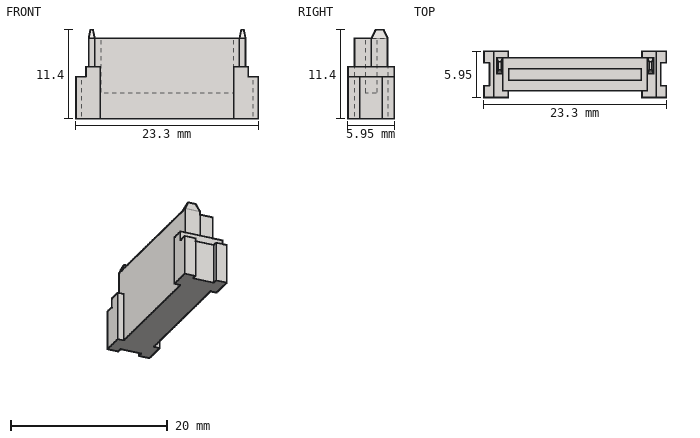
import cadquery as cq

length = 23.3
width = 5.95
height = 11.4

body_length = 18.45
body_width = 4.25
body_height = 10.32
card_slot_length = 16.95
card_slot_width = 1.47
card_slot_depth = 7.0

block_length = 3.12
block_height = 6.66
step_length = 1.28
step_height = 5.4
notch_depth = 0.72
notch_width = 2.9

peg_length = 0.8
peg_width = 2.07
peg_tip_length = 0.35
peg_tip_width = 1.03


def make_body():
    """Solid housing standing on Z = 0."""
    return cq.Workplane("XY").box(body_length, body_width, body_height, centered=(True, True, False))


def make_end_block():
    """Left end block: an L-shaped profile with a vertical notch in its outer face."""
    outer_x = -length / 2
    inner_x = outer_x + block_length
    step_x = outer_x + step_length
    profile = [
        (outer_x, 0),
        (inner_x, 0),
        (inner_x, block_height),
        (step_x, block_height),
        (step_x, step_height),
        (outer_x, step_height),
    ]
    block = cq.Workplane("XZ").polyline(profile).close().extrude(width / 2, both=True)
    notch = (
        cq.Workplane("XY")
        .box(notch_depth, notch_width, step_height, centered=(False, True, False))
        .translate((outer_x, 0, 0))
    )
    return block.cut(notch)


def make_peg():
    """Left peg: a straight post on the end block with a tapered tip."""
    center_x = -(body_length + peg_length) / 2
    center_y = (body_width - peg_width) / 2
    post = (
        cq.Workplane("XY", origin=(center_x, center_y, block_height))
        .rect(peg_length, peg_width)
        .extrude(body_height - block_height)
    )
    tip = (
        cq.Workplane("XY", origin=(center_x, center_y, body_height))
        .rect(peg_length, peg_width)
        .workplane(offset=height - body_height)
        .rect(peg_tip_length, peg_tip_width)
        .loft(ruled=True)
    )
    return post.union(tip)


left_end = make_end_block().union(make_peg())
right_end = left_end.mirror("YZ")
card_slot = (
    cq.Workplane("XY", origin=(0, 0, body_height))
    .rect(card_slot_length, card_slot_width)
    .extrude(-card_slot_depth)
)
result = make_body().union(left_end).union(right_end).cut(card_slot)